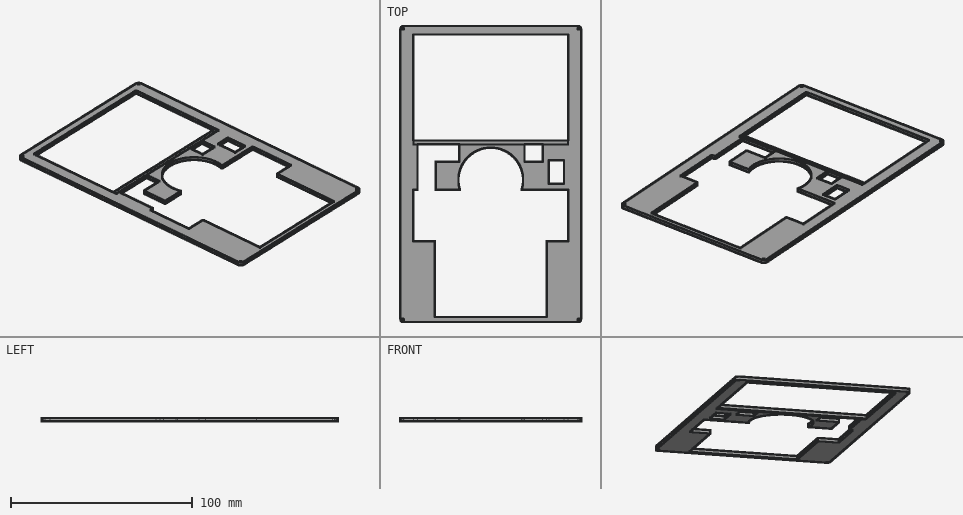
import cadquery as cq

WIDTH = 99.7
LENGTH = 163.2
THICKNESS = 2.0
CORNER_RADIUS = 2.0
CORNER_HOLE_DIAMETER = 0.8
CORNER_HOLE_INSET = 1.5

OPENING_HALF_WIDTH = 42.6
UPPER_OPENING_TOP = 76.9
BAR_TOP = 18.6
BAR_BOTTOM = 16.3
BRIDGE_BOTTOM = -8.6
LOWER_OPENING_STEP = -36.9
LOWER_OPENING_BOTTOM = -78.7
LOWER_OPENING_HALF_WIDTH = 30.8

ROUND_CUTOUT_RADIUS = 17.8
ROUND_CUTOUT_Y = -3.3
SIDE_GAP_LEFT = -40.3
BRIDGE_LEFT = -30.4
BRIDGE_NECK_LEFT = -17.5
NOTCH_BOTTOM = 6.9
NOTCH_LEFT = 18.6
NOTCH_RIGHT = 28.5
WINDOW_LEFT = 32.0
WINDOW_RIGHT = 40.3
WINDOW_BOTTOM = -5.2
WINDOW_TOP = 7.5


def block(left, right, bottom, top):
    """Full-thickness rectangular block between the given limits."""
    return (
        cq.Workplane("XY")
        .center((left + right) / 2, (bottom + top) / 2)
        .rect(right - left, top - bottom)
        .extrude(THICKNESS)
    )


def make_blank():
    """Rounded plate with a small through hole at each corner."""
    hole_spacing_x = WIDTH - 2 * CORNER_HOLE_INSET
    hole_spacing_y = LENGTH - 2 * CORNER_HOLE_INSET
    blank = block(-WIDTH / 2, WIDTH / 2, -LENGTH / 2, LENGTH / 2)
    blank = blank.edges("|Z").fillet(CORNER_RADIUS)
    holes = (
        cq.Workplane("XY")
        .rect(hole_spacing_x, hole_spacing_y, forConstruction=True)
        .vertices()
        .circle(CORNER_HOLE_DIAMETER / 2)
        .extrude(THICKNESS)
    )
    return blank.cut(holes)


def make_upper_opening():
    """Upper opening, including the seat that the crossbar fills."""
    return block(-OPENING_HALF_WIDTH, OPENING_HALF_WIDTH, BAR_BOTTOM, UPPER_OPENING_TOP)


def make_lower_opening():
    """Stepped lower opening, wide below the bridge and narrower at its end."""
    wide = block(-OPENING_HALF_WIDTH, OPENING_HALF_WIDTH, LOWER_OPENING_STEP, BRIDGE_BOTTOM)
    narrow = block(
        -LOWER_OPENING_HALF_WIDTH, LOWER_OPENING_HALF_WIDTH, LOWER_OPENING_BOTTOM, LOWER_OPENING_STEP
    )
    return wide.union(narrow)


def make_side_gap():
    """L-shaped gap that separates the bridge from the left rail."""
    beside_bridge = block(SIDE_GAP_LEFT, BRIDGE_LEFT, BRIDGE_BOTTOM, BAR_BOTTOM)
    above_bridge = block(BRIDGE_LEFT, BRIDGE_NECK_LEFT, NOTCH_BOTTOM, BAR_BOTTOM)
    return beside_bridge.union(above_bridge)


def make_round_cutout():
    """Round cutout that breaks through the lower edge of the bridge."""
    return (
        cq.Workplane("XY")
        .center(0, ROUND_CUTOUT_Y)
        .circle(ROUND_CUTOUT_RADIUS)
        .extrude(THICKNESS)
    )


def make_frame():
    """Outer frame together with the bridge that carries the windows."""
    notch = block(NOTCH_LEFT, NOTCH_RIGHT, NOTCH_BOTTOM, BAR_BOTTOM)
    window = block(WINDOW_LEFT, WINDOW_RIGHT, WINDOW_BOTTOM, WINDOW_TOP)
    return (
        make_blank()
        .cut(make_upper_opening())
        .cut(make_lower_opening())
        .cut(make_side_gap())
        .cut(make_round_cutout())
        .cut(notch)
        .cut(window)
    )


def make_crossbar():
    """Separate bar across the lower end of the upper opening."""
    return block(-OPENING_HALF_WIDTH, OPENING_HALF_WIDTH, BAR_BOTTOM, BAR_TOP)


frame = make_frame()
crossbar = make_crossbar()
result = cq.Compound.makeCompound([frame.val(), crossbar.val()])